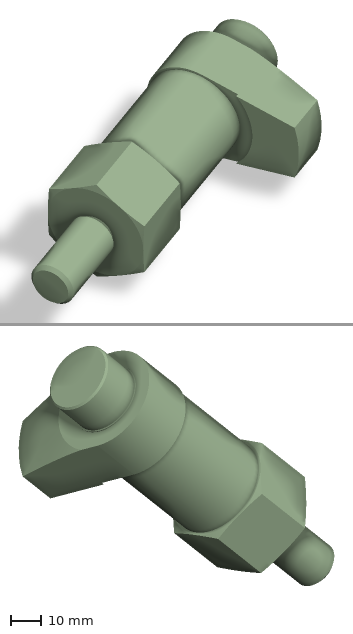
import cadquery as cq
import math


total_length = 131.0
groove_start = 27.9
groove_bottom_start = 29.0
hex_start = 30.0
hex_end = 55.0
lever_underside = 95.0
hub_underside = 96.0
lever_top = 116.0
collar_top = 116.3

stud_diameter = 16.0
groove_diameter = 13.0
body_diameter = 34.0
collar_diameter = 25.0
knob_diameter = 24.0
stud_chamfer = 1.3
knob_chamfer = 0.7

hex_across_flats = 36.0
hex_chamfer_angle = 15.0

hub_radius = hex_across_flats / 2
lever_reach = 40.0
lever_taper_angle = 10.4
recess_radius = 22.4
slope_start_radius = 19.3
slope_drop = 5.8


def revolve_about_axis(profile):
    """Turn a closed (radius, station) profile about the Y axis."""
    return cq.Workplane("XY").polyline(profile).close().revolve(360, (0, 0, 0), (0, 1, 0))


def make_spindle():
    """Threaded stud with relief groove, body, collar and knob as one turned piece."""
    stud_radius = stud_diameter / 2
    groove_radius = groove_diameter / 2
    body_radius = body_diameter / 2
    collar_radius = collar_diameter / 2
    knob_radius = knob_diameter / 2
    return revolve_about_axis([
        (0, 0),
        (stud_radius - stud_chamfer, 0),
        (stud_radius, stud_chamfer),
        (stud_radius, groove_start),
        (groove_radius, groove_bottom_start),
        (groove_radius, hex_start),
        (body_radius, hex_start),
        (body_radius, hub_underside),
        (collar_radius, hub_underside),
        (collar_radius, collar_top),
        (knob_radius, collar_top),
        (knob_radius, total_length - knob_chamfer),
        (knob_radius - knob_chamfer, total_length),
        (0, total_length),
    ])


def make_hexagon():
    """Hexagon with vertical flats at +X and -X and conically chamfered corners."""
    corner_radius = hex_across_flats / math.sqrt(3)
    flat_radius = hex_across_flats / 2
    chamfer_height = (corner_radius - flat_radius) * math.tan(math.radians(hex_chamfer_angle))
    prism = (
        cq.Workplane("XZ", origin=(0, hex_start, 0))
        .transformed(rotate=(0, 0, 90))
        .polygon(6, 2 * corner_radius)
        .extrude(hex_start - hex_end)
    )
    chamfer_envelope = revolve_about_axis([
        (0, hex_start),
        (flat_radius, hex_start),
        (corner_radius, hex_start + chamfer_height),
        (corner_radius, hex_end - chamfer_height),
        (flat_radius, hex_end),
        (0, hex_end),
    ])
    return prism.intersect(chamfer_envelope)


def make_lever():
    """Round hub with a tapering arm toward +X, a conical top and a recessed underside."""
    taper = math.radians(lever_taper_angle)
    tangent_x = hub_radius * math.sin(taper)
    tangent_z = hub_radius * math.cos(taper)
    tip_angle = math.pi / 2 - taper - math.acos(hub_radius / lever_reach)
    tip_x = lever_reach * math.cos(tip_angle)
    tip_z = lever_reach * math.sin(tip_angle)
    outline = (
        cq.Workplane("XZ", origin=(0, lever_underside, 0))
        .moveTo(tangent_x, tangent_z)
        .lineTo(tip_x, tip_z)
        .threePointArc((lever_reach, 0), (tip_x, -tip_z))
        .lineTo(tangent_x, -tangent_z)
        .threePointArc((-hub_radius, 0), (tangent_x, tangent_z))
        .close()
        .extrude(lever_underside - lever_top)
    )
    envelope_margin = 1.3
    envelope_radius = lever_reach + envelope_margin
    slope = slope_drop / (lever_reach - slope_start_radius)
    envelope_edge = lever_top - slope * (envelope_radius - slope_start_radius)
    envelope = revolve_about_axis([
        (0, hub_underside),
        (recess_radius, hub_underside),
        (recess_radius, lever_underside),
        (envelope_radius, lever_underside),
        (envelope_radius, envelope_edge),
        (slope_start_radius, lever_top),
        (0, lever_top),
    ])
    return outline.intersect(envelope)


result = make_spindle().union(make_hexagon()).union(make_lever())